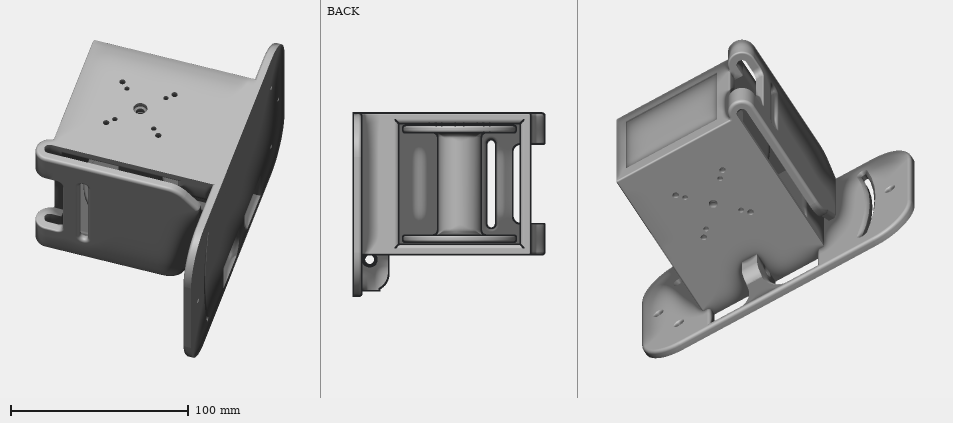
import cadquery as cq
import math


PLATE_WIDTH = 177.1
PLATE_HEIGHT = 103.5
PLATE_THICK = 5.0
PLATE_CORNER_R = 24.8
EDGE_R = 2.0

BOX_LENGTH = 100.2
BOX_SIZE = 80.0
BOX_EDGE_R = 1.0
WALL = 6.0
BOX_Y = 8.0
FRONT_X = -BOX_LENGTH
SIDE_Y = BOX_Y - BOX_SIZE / 2
BOX_TOP = PLATE_HEIGHT
BOX_BOTTOM = BOX_TOP - BOX_SIZE
BOX_Z = (BOX_TOP + BOX_BOTTOM) / 2

AXIS_X = -60.0
CAVITY_LENGTH = 2 * (AXIS_X - FRONT_X - WALL)
CAVITY_HEIGHT = BOX_SIZE - 2 * WALL
CAVITY_MOUTH_R = 2.5

BORE_D = 5.0
COUNTERBORE_D = 8.0
COUNTERBORE_DEPTH = 3.0
OUTER_BOLT_PITCH = 30.8
OUTER_BOLT_D = 3.5
INNER_BOLT_PITCH = 23.0
INNER_BOLT_D = 3.0

RECESS_SIZE = 59.9
RECESS_Y = 11.3
RECESS_DEPTH = 0.9

ARM_THICK = 5.0
ARM_GAP = 6.0
BEND_R = ARM_THICK + ARM_GAP / 2
BEND_Y = SIDE_Y - ARM_GAP / 2
BEND_ROOT_Y = SIDE_Y + ARM_THICK
BEND_BLEND_R = 1.8
ARM_INNER_Y = SIDE_Y - ARM_GAP
ARM_OUTER_Y = ARM_INNER_Y - ARM_THICK
ARM_TIP_X = -9.7
ARM_TOP_CUT = 12.8
ARM_TOP_CUT_R = 15.0
ARM_BOTTOM_BEVEL = 8.3
ARM_BOTTOM_RISE = 17.9
ARM_BOTTOM_R = 13.6

BEND_WINDOW_HEIGHT = 44.8
BEND_WINDOW_END_X = -90.1
BEND_WINDOW_CORNER_R = 4.0
BEND_WINDOW_EDGE_R = 1.0
ARM_SLOT_X = -78.0
ARM_SLOT_WIDTH = 5.0
ARM_SLOT_LENGTH = 50.0

LATCH_Z = 76.3
HOOK_LENGTH = 8.0
HOOK_HEIGHT = 10.0
HOOK_REACH = 3.0
HOOK_EDGE_R = 1.0
POCKET_HEIGHT = 18.0
POCKET_START_X = -21.0
POCKET_LIP_R = 4.0

WINDOW_WIDTH = 70.1
SILL_Z = 5.0
RIB_WIDTH = 10.1
RIB_LENGTH = 20.2
RIB_BOTTOM = SILL_Z - EDGE_R
RIB_R = 10.1
RIB_HOLE_X = -9.4
RIB_HOLE_Z = 20.7
RIB_HOLE_D = 6.0
RIB_HOLE_RIM_D = 8.0

SCREW_D = 3.0
SCREW_CHAMFER = 2.0
SCREW_Z = PLATE_HEIGHT / 2
PIVOT_Y = 77.0
FAR_SCREW_Y = -75.0
PAIR_Y = 63.5
PAIR_HALF_PITCH = 26.5
ARC_R = 139.4
ARC_HALF_ANGLE = 16.0
SCREW_POINTS = [
    (PIVOT_Y, SCREW_Z),
    (FAR_SCREW_Y, SCREW_Z),
    (PAIR_Y, SCREW_Z + PAIR_HALF_PITCH),
    (PAIR_Y, SCREW_Z - PAIR_HALF_PITCH),
]

FLANGE_D = 64.1
FLANGE_THICK = 4.0
FLANGE_R = 1.5
HUB_D = 24.8
HUB_R = 2.5
SPOOL_CLEARANCE = 1.0

PICK = 0.2


def block(x0, x1, y0, y1, z0, z1):
    """A box between two opposite corners."""
    return cq.Workplane("XY").box(x1 - x0, y1 - y0, z1 - z0, centered=False).translate((x0, y0, z0))


def square_points(pitch):
    """Corners of a square around the spool axis."""
    half = pitch / 2
    return [(AXIS_X + i * half, BOX_Y + j * half) for i in (-1, 1) for j in (-1, 1)]


def arc_slot(width, half_angle=ARC_HALF_ANGLE):
    """Outline of the curved slot around the pivot screw, drawn in the Y-Z plane."""
    def point(radius, angle):
        a = math.radians(angle)
        return PIVOT_Y - radius * math.cos(a), SCREW_Z + radius * math.sin(a)

    inner = ARC_R - width / 2
    outer = ARC_R + width / 2
    end = math.degrees(width / 2 / ARC_R)
    return (
        cq.Workplane("YZ", origin=(-PLATE_THICK, 0, 0))
        .moveTo(*point(inner, -half_angle))
        .threePointArc(point(inner, 0), point(inner, half_angle))
        .threePointArc(point(ARC_R, half_angle + end), point(outer, half_angle))
        .threePointArc(point(outer, 0), point(outer, -half_angle))
        .threePointArc(point(ARC_R, -half_angle - end), point(inner, -half_angle))
        .close()
    )


def is_screw_or_slot(edge):
    """True for the front edges of the screw holes and of the curved slot."""
    c = edge.Center()
    if edge.geomType() != "CIRCLE":
        return False
    on_slot = abs(math.hypot(c.y - PIVOT_Y, c.z - SCREW_Z) - ARC_R) < 2 * SCREW_D
    on_screw = any(math.hypot(c.y - y, c.z - z) < SCREW_D for y, z in SCREW_POINTS)
    return on_slot or on_screw


def make_plate():
    plate = block(-PLATE_THICK, 0, -PLATE_WIDTH / 2, PLATE_WIDTH / 2, 0, PLATE_HEIGHT)
    plate = plate.edges("|X").fillet(PLATE_CORNER_R).faces("<X").edges().fillet(EDGE_R)
    half = WINDOW_WIDTH / 2
    window = block(-PLATE_THICK, 0, BOX_Y - half, BOX_Y + half, SILL_Z, BOX_BOTTOM)
    plate = plate.cut(window)
    rim = cq.selectors.BoxSelector(
        (-PLATE_THICK - PICK, BOX_Y - half - PICK, SILL_Z - PICK),
        (-PLATE_THICK + PICK, BOX_Y + half + PICK, BOX_BOTTOM - PICK),
    )
    plate = plate.edges(rim).fillet(EDGE_R)

    holes = cq.Workplane("YZ", origin=(-PLATE_THICK, 0, 0)).pushPoints(SCREW_POINTS)
    holes = holes.circle(SCREW_D / 2).extrude(PLATE_THICK)
    slot = arc_slot(SCREW_D).extrude(PLATE_THICK)
    plate = plate.cut(holes.union(slot))
    inner_edges = [e for e in plate.faces("<X").edges().vals() if is_screw_or_slot(e)]
    return plate.newObject(inner_edges).chamfer(SCREW_CHAMFER)


def is_bar_edge(edge):
    """True for the upright edges of the bar that the bend window leaves at the front of the box."""
    c = edge.Center()
    return abs(c.y - BEND_ROOT_Y) < PICK and c.x < FRONT_X + WALL + PICK


def make_box():
    box = block(FRONT_X, 0, SIDE_Y, SIDE_Y + BOX_SIZE, BOX_BOTTOM, BOX_TOP)
    box = box.edges("(<X and (>Y or |Y)) or (>Y and |X)").fillet(BOX_EDGE_R)
    half = CAVITY_LENGTH / 2
    cavity = block(
        AXIS_X - half, AXIS_X + half, SIDE_Y, SIDE_Y + BOX_SIZE, BOX_BOTTOM + WALL, BOX_TOP - WALL
    )
    box = box.cut(cavity)
    mouth = cq.selectors.BoxSelector(
        (AXIS_X - half - PICK, SIDE_Y - PICK, BOX_BOTTOM + WALL - PICK),
        (AXIS_X + half + PICK, SIDE_Y + BOX_SIZE + PICK, BOX_TOP - WALL + PICK),
    )
    box = box.edges(mouth).edges("<Y or >Y").fillet(CAVITY_MOUTH_R)

    half = RECESS_SIZE / 2
    recess = block(
        FRONT_X, FRONT_X + RECESS_DEPTH, RECESS_Y - half, RECESS_Y + half, BOX_Z - half, BOX_Z + half
    )
    box = box.cut(recess).cut(bend_window(BEND_ROOT_Y))
    bar_edges = [e for e in box.edges("|Z").vals() if is_bar_edge(e)]
    return box.newObject(bar_edges).fillet(BEND_WINDOW_EDGE_R)


def drill_box(body):
    """Axle bore and motor bolt holes through the top and floor."""
    for points, diameter in (
        ([(AXIS_X, BOX_Y)], BORE_D),
        (square_points(OUTER_BOLT_PITCH), OUTER_BOLT_D),
        (square_points(INNER_BOLT_PITCH), INNER_BOLT_D),
    ):
        drill = cq.Workplane("XY", origin=(0, 0, BOX_BOTTOM)).pushPoints(points)
        body = body.cut(drill.circle(diameter / 2).extrude(BOX_SIZE))
    counterbore = cq.Workplane("XY", origin=(AXIS_X, BOX_Y, BOX_TOP - COUNTERBORE_DEPTH))
    return body.cut(counterbore.circle(COUNTERBORE_D / 2).extrude(COUNTERBORE_DEPTH))


def is_slot_rim(edge):
    """True for the edges of the straight slot on both faces of the arm."""
    c = edge.Center()
    near_x = abs(c.x - ARM_SLOT_X) < ARM_SLOT_WIDTH
    return near_x and abs(c.z - BOX_Z) <= ARM_SLOT_LENGTH / 2


def is_window_rim(edge):
    """True for the edges of the bend window on the outer face of the arm."""
    c = edge.Center()
    near_x = FRONT_X + PICK < c.x < BEND_WINDOW_END_X + PICK
    return near_x and abs(c.z - BOX_Z) < BEND_WINDOW_HEIGHT / 2 + PICK


def make_arm():
    blend_y = BEND_Y + math.sqrt((BEND_R + BEND_BLEND_R) ** 2 - BEND_BLEND_R**2)
    share = BEND_R / (BEND_R + BEND_BLEND_R)
    touch = (FRONT_X - BEND_BLEND_R * share, BEND_Y + (blend_y - BEND_Y) * share)
    diag = math.atan2(touch[1] - blend_y, touch[0] - FRONT_X + BEND_BLEND_R) / 2
    blend_mid = (
        FRONT_X - BEND_BLEND_R + BEND_BLEND_R * math.cos(diag),
        blend_y + BEND_BLEND_R * math.sin(diag),
    )
    arm = (
        cq.Workplane("XY", origin=(0, 0, BOX_BOTTOM))
        .moveTo(ARM_TIP_X, ARM_OUTER_Y)
        .lineTo(FRONT_X, ARM_OUTER_Y)
        .threePointArc((FRONT_X - BEND_R, BEND_Y), touch)
        .threePointArc(blend_mid, (FRONT_X, blend_y))
        .lineTo(FRONT_X + WALL, blend_y)
        .lineTo(FRONT_X + WALL, SIDE_Y)
        .lineTo(FRONT_X, SIDE_Y)
        .threePointArc((FRONT_X - ARM_GAP / 2, BEND_Y), (FRONT_X, ARM_INNER_Y))
        .lineTo(ARM_TIP_X, ARM_INNER_Y)
        .close()
        .extrude(BOX_SIZE)
    )
    arm = cut_arm_corners(arm)
    rim = [e for e in arm.faces("<Y").edges().vals() if e.Center().x > FRONT_X + PICK]
    arm = arm.newObject(rim).fillet(EDGE_R)

    slot = (
        cq.Workplane("XZ", origin=(ARM_SLOT_X, ARM_INNER_Y, BOX_Z))
        .slot2D(ARM_SLOT_LENGTH, ARM_SLOT_WIDTH, 90)
        .extrude(ARM_THICK)
    )
    arm = arm.cut(slot)
    rim = [e for e in arm.edges("#Y").vals() if is_slot_rim(e)]
    arm = arm.newObject(rim).fillet(EDGE_R)

    arm = arm.cut(bend_window(blend_y))
    rim = [e for e in arm.faces("<Y").edges().vals() if is_window_rim(e)]
    arm = arm.newObject(rim).fillet(BEND_WINDOW_EDGE_R)
    return arm.union(make_hook())


def cut_arm_corners(arm):
    """Rounded bevels at the top and bottom of the arm tip."""
    top_corner = (
        cq.Workplane("XZ", origin=(0, ARM_INNER_Y, 0))
        .moveTo(ARM_TIP_X - ARM_TOP_CUT, BOX_TOP)
        .lineTo(ARM_TIP_X, BOX_TOP - ARM_TOP_CUT)
        .lineTo(ARM_TIP_X, BOX_TOP)
        .close()
        .extrude(ARM_THICK)
    )
    arm = arm.cut(top_corner)
    bevel_start = (ARM_TIP_X - ARM_TOP_CUT, (ARM_INNER_Y + ARM_OUTER_Y) / 2, BOX_TOP)
    arm = arm.edges(cq.selectors.NearestToPointSelector(bevel_start)).fillet(ARM_TOP_CUT_R)

    round_rise = ARM_BOTTOM_RISE - ARM_BOTTOM_BEVEL
    sweep = math.acos(1 - round_rise / ARM_BOTTOM_R)
    bevel_x = ARM_TIP_X - ARM_BOTTOM_BEVEL
    round_x = bevel_x - ARM_BOTTOM_R * math.sin(sweep)
    round_mid = (
        round_x + ARM_BOTTOM_R * math.sin(sweep / 2),
        BOX_BOTTOM + ARM_BOTTOM_R * (1 - math.cos(sweep / 2)),
    )
    bottom_corner = (
        cq.Workplane("XZ", origin=(0, ARM_INNER_Y, 0))
        .moveTo(round_x, BOX_BOTTOM)
        .threePointArc(round_mid, (bevel_x, BOX_BOTTOM + round_rise))
        .lineTo(ARM_TIP_X, BOX_BOTTOM + ARM_BOTTOM_RISE)
        .lineTo(ARM_TIP_X, BOX_BOTTOM)
        .close()
        .extrude(ARM_THICK)
    )
    return arm.cut(bottom_corner)


def bend_window(root_y):
    """Cutter, as deep as root_y, for the opening that leaves the bend as two hinges."""
    half = BEND_WINDOW_HEIGHT / 2
    window = block(
        FRONT_X - BEND_R, BEND_WINDOW_END_X, ARM_OUTER_Y, root_y, BOX_Z - half, BOX_Z + half
    )
    return window.edges(">X and |Y").fillet(BEND_WINDOW_CORNER_R)


def make_hook():
    """Latch tongue with flared root, on the inside of the arm tip."""
    half = HOOK_HEIGHT / 2
    flare_mid = ARM_GAP * (1 - math.sqrt(0.5))
    tip_y = SIDE_Y + HOOK_REACH
    hook = (
        cq.Workplane("YZ", origin=(ARM_TIP_X - HOOK_LENGTH, 0, LATCH_Z))
        .moveTo(ARM_INNER_Y, -half - ARM_GAP)
        .threePointArc((ARM_INNER_Y + flare_mid, -half - flare_mid), (SIDE_Y, -half))
        .lineTo(tip_y, -half)
        .lineTo(tip_y, half)
        .lineTo(SIDE_Y, half)
        .threePointArc((ARM_INNER_Y + flare_mid, half + flare_mid), (ARM_INNER_Y, half + ARM_GAP))
        .close()
        .extrude(HOOK_LENGTH)
    )
    return hook.faces("<X").edges("not <Y").fillet(HOOK_EDGE_R)


def latch_pocket():
    """Cutter for the latch pocket in the box side, with half-round lips above and below."""
    half = POCKET_HEIGHT / 2
    mouth = half + POCKET_LIP_R
    depth = 2 * POCKET_LIP_R
    return (
        cq.Workplane("YZ", origin=(POCKET_START_X, SIDE_Y, LATCH_Z))
        .moveTo(0, -mouth)
        .threePointArc((POCKET_LIP_R, -half), (depth, -mouth))
        .lineTo(depth, mouth)
        .threePointArc((POCKET_LIP_R, half), (0, mouth))
        .close()
        .extrude(-PLATE_THICK - POCKET_START_X)
    )


def make_rib():
    """Rib under the box, with a trumpet-shaped fillet to the plate sill, and the cutter for its hole."""
    half = RIB_WIDTH / 2
    rib = block(-RIB_LENGTH, 0, BOX_Y - half, BOX_Y + half, RIB_BOTTOM, BOX_BOTTOM)
    rib = rib.edges("<X and <Z").fillet(RIB_R)

    mid = RIB_R * (1 - math.sqrt(0.5))
    flare_length = half + RIB_R
    flare = (
        cq.Workplane("XY")
        .moveTo(0, -flare_length)
        .lineTo(EDGE_R, -flare_length)
        .threePointArc((EDGE_R + mid, -half - mid), (EDGE_R + RIB_R, -half))
        .lineTo(EDGE_R + RIB_R, half)
        .threePointArc((EDGE_R + mid, half + mid), (EDGE_R, flare_length))
        .lineTo(0, flare_length)
        .close()
        .revolve(360, (0, 0, 0), (0, 1, 0))
        .translate((EDGE_R - PLATE_THICK, BOX_Y, SILL_Z - EDGE_R))
    )
    keep = block(
        -RIB_LENGTH, 0, BOX_Y - flare_length, BOX_Y + flare_length, RIB_BOTTOM, BOX_BOTTOM
    )
    rib = rib.union(flare.intersect(keep))

    hole = cq.Workplane("XZ", origin=(RIB_HOLE_X, BOX_Y + half, RIB_HOLE_Z))
    hole = hole.circle(RIB_HOLE_D / 2).extrude(RIB_WIDTH)
    rim_depth = (RIB_HOLE_RIM_D - RIB_HOLE_D) / 2
    for side in (-1, 1):
        rim = cq.Solid.makeCone(
            RIB_HOLE_RIM_D / 2,
            RIB_HOLE_D / 2,
            rim_depth,
            cq.Vector(RIB_HOLE_X, BOX_Y + side * half, RIB_HOLE_Z),
            cq.Vector(0, -side, 0),
        )
        hole = hole.union(cq.Workplane(obj=rim))
    return rib, hole


def make_housing():
    rib, rib_hole = make_rib()
    box = make_box().cut(latch_pocket())
    body = make_plate().union(box).union(make_arm()).union(rib)
    return drill_box(body.cut(rib_hole))


def make_spool():
    bottom = BOX_BOTTOM + WALL + SPOOL_CLEARANCE
    height = CAVITY_HEIGHT - 2 * SPOOL_CLEARANCE
    flange = cq.Workplane("XY").circle(FLANGE_D / 2).extrude(FLANGE_THICK).edges().fillet(FLANGE_R)
    spool = cq.Workplane("XY").circle(HUB_D / 2).extrude(height)
    spool = spool.union(flange).union(flange.translate((0, 0, height - FLANGE_THICK)))
    roots = [
        e for e in spool.edges("%CIRCLE").vals()
        if abs(e.radius() - HUB_D / 2) < PICK and PICK < e.Center().z < height - PICK
    ]
    spool = spool.newObject(roots).fillet(HUB_R)
    spool = spool.translate((AXIS_X, BOX_Y, bottom))
    for x, y, diameter in (
        (AXIS_X, BOX_Y, BORE_D),
        (AXIS_X - OUTER_BOLT_PITCH / 2, BOX_Y + OUTER_BOLT_PITCH / 2, OUTER_BOLT_D),
        (AXIS_X + INNER_BOLT_PITCH / 2, BOX_Y - INNER_BOLT_PITCH / 2, INNER_BOLT_D),
    ):
        drill = cq.Workplane("XY", origin=(x, y, bottom)).circle(diameter / 2).extrude(height)
        spool = spool.cut(drill)
    return spool


housing = make_housing()
spool = make_spool()
result = cq.Compound.makeCompound([housing.val(), spool.val()])